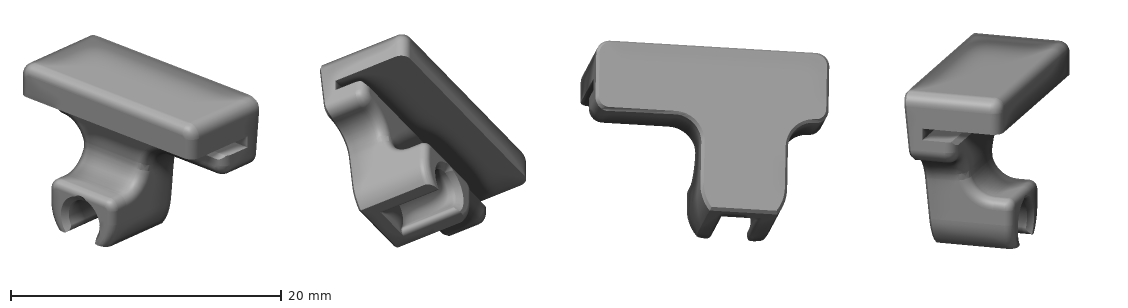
import cadquery as cq
import math

width = 17.5
depth = 7.58
height = 12.4

head_bottom = 7.1
corner_radius = 1.0
slot_bottom = 8.92
slot_top = 9.82
slot_back = 6.04
lip_front = 3.5
lip_chamfer = 0.35

stem_half_width = 3.25
stem_top = 3.9
blend_radius = 2.0
stem_center = corner_radius + blend_radius + stem_half_width
jaw_start = 2.0
jaw_radius = 3.15

head_edge_radius = 0.79
stem_edge_radius = 0.6
back_tilt = 5.8
back_chamfer = 0.21
back_clearance = 0.18

bore_radius = 1.55
bore_height = 1.38
bore_depth = 5.0
bore_bevel = 0.42
mouth_radius = 0.4
crown_front_radius = 0.72
crown_back_radius = 0.15

eps = 0.002
diagonal = math.sqrt(0.5)
back_slope = math.tan(math.radians(back_tilt))


def xz_prism(sketch, length):
    """Extrude a closed XZ sketch toward +Y."""
    return sketch.extrude(-length)


def front_outline():
    """T-shaped body, with blended shoulders and a curved-in lower jaw."""
    left = stem_center - stem_half_width
    right = stem_center + stem_half_width
    r = corner_radius
    b = blend_radius
    shoulder = head_bottom - b
    bend = 1 - diagonal
    jaw_angle = math.asin(jaw_start / jaw_radius)
    jaw_inset = jaw_radius * (1 - math.cos(jaw_angle))
    mid_inset = jaw_radius * (1 - math.cos(jaw_angle / 2))
    mid_height = jaw_start - jaw_radius * math.sin(jaw_angle / 2)
    sketch = (
        cq.Workplane("XZ")
        .moveTo(r, height)
        .lineTo(width - r, height)
        .threePointArc((width - r * bend, height - r * bend), (width, height - r))
        .lineTo(width, head_bottom + r)
        .threePointArc((width - r * bend, head_bottom + r * bend), (width - r, head_bottom))
        .lineTo(right + b, head_bottom)
        .threePointArc((right + b * bend, head_bottom - b * bend), (right, shoulder))
        .lineTo(right, jaw_start)
        .threePointArc((right - mid_inset, mid_height), (right - jaw_inset, 0))
        .lineTo(left + jaw_inset, 0)
        .threePointArc((left + mid_inset, mid_height), (left, jaw_start))
        .lineTo(left, shoulder)
        .threePointArc((left - b * bend, head_bottom - b * bend), (left - b, head_bottom))
        .threePointArc((r * bend, head_bottom + r * bend), (0, head_bottom + r))
        .lineTo(0, height - r)
        .threePointArc((r * bend, height - r * bend), (r, height))
        .close()
    )
    return xz_prism(sketch, depth + back_clearance)


def side_outline():
    """Side profile: slot, set-back lip and concave throat."""
    b = blend_radius
    bend = 1 - diagonal
    return (
        cq.Workplane("YZ")
        .moveTo(0, 0)
        .lineTo(0, stem_top)
        .lineTo(lip_front - b, stem_top)
        .threePointArc((lip_front - b * bend, stem_top + b * bend), (lip_front, stem_top + b))
        .lineTo(lip_front, slot_bottom)
        .lineTo(slot_back, slot_bottom)
        .lineTo(slot_back, slot_top)
        .lineTo(0, slot_top)
        .lineTo(0, height)
        .lineTo(depth + back_clearance, height)
        .lineTo(depth + back_clearance, 0)
        .close()
        .extrude(width)
    )


def back_envelope():
    """Sloping back with chamfered edges, clear of the body everywhere else."""
    outline = front_outline().faces("<Y").wires().val()
    enlarged = outline.offset2D(back_clearance)[0]
    reduced = outline.offset2D(-back_chamfer)[0]
    back_at_bottom = depth + (back_chamfer - height) * back_slope
    chamfer_start = back_at_bottom - back_chamfer - back_clearance
    sections = []
    for section, bottom_y in [(enlarged, -depth), (enlarged, chamfer_start), (reduced, back_at_bottom)]:
        lean = cq.Matrix([[1, 0, 0, 0], [0, 1, back_slope, bottom_y], [0, 0, 1, 0]])
        sections.append(section.transformGeometry(lean))
    return cq.Workplane(cq.Solid.makeLoft(sections, True))


def round_head_front(body):
    """Round the sides and top of the front face above the slot."""
    on_front = cq.selectors.BoxSelector((-0.18, -0.18, slot_top + eps), (width + 0.18, 0.18, height + 0.18))
    return body.edges(on_front).fillet(head_edge_radius)


def round_lip_and_throat(body):
    """Round the run of edges along the lip, shoulders, throat and stem top."""
    run = []
    for edge in body.edges().vals():
        box = edge.BoundingBox()
        in_front = box.ymax < lip_front + eps
        between = stem_top - eps < box.zmin < slot_bottom - eps and box.zmax < slot_bottom + eps
        across_stem = box.xlen > 2 * stem_half_width - eps and box.zmax < head_bottom - eps
        if in_front and between and not across_stem:
            run.append(edge)
    return body.newObject(run).fillet(head_edge_radius)


def round_stem_front(body):
    """Round the stem's front face, except along its flat bottom."""
    on_front = []
    for edge in body.edges().vals():
        box = edge.BoundingBox()
        if box.ymax < eps < box.zmax < stem_top + eps:
            on_front.append(edge)
    return body.newObject(on_front).fillet(stem_edge_radius)


def chamfer_lip(body):
    """Lead-in chamfer on the slot's lower front edge."""
    wedge = (
        cq.Workplane("YZ")
        .moveTo(lip_front + lip_chamfer, slot_bottom)
        .lineTo(lip_front - lip_chamfer, slot_bottom)
        .lineTo(lip_front - lip_chamfer, slot_bottom - 2 * lip_chamfer)
        .close()
        .extrude(width)
    )
    return body.cut(wedge)


def entry_cone(front_radius, back_radius, center_height):
    """Cone narrowing from the stem's front face to the end of the bore bevel."""
    inward = cq.Vector(0, 1, 0)
    center = cq.Vector(stem_center, 0, center_height)
    return cq.Workplane(cq.Solid.makeCone(front_radius, back_radius, bore_bevel, center, inward))


def bore():
    """Cutters for a blind round bore with a rounded mouth and a bevelled entry."""
    center = cq.Workplane("XZ").center(stem_center, bore_height)
    hole = xz_prism(center.circle(bore_radius), bore_depth)
    reach = bore_radius + mouth_radius
    drop = bore_height - mouth_radius
    half_mouth = math.sqrt(reach**2 - drop**2)
    touch_x = half_mouth * bore_radius / reach
    touch_z = bore_height - drop * bore_radius / reach
    half_gap = half_mouth - mouth_radius
    mouth = xz_prism(
        cq.Workplane("XZ")
        .moveTo(stem_center - touch_x, touch_z)
        .lineTo(stem_center + touch_x, touch_z)
        .threePointArc((stem_center + half_gap, mouth_radius), (stem_center + half_mouth, 0))
        .lineTo(stem_center - half_mouth, 0)
        .threePointArc((stem_center - half_gap, mouth_radius), (stem_center - touch_x, touch_z))
        .close(),
        bore_depth,
    )
    bevel = entry_cone(bore_radius + bore_bevel, bore_radius, bore_height)
    crown_height = bore_height + bore_radius - crown_back_radius
    crown = entry_cone(crown_front_radius, crown_back_radius, crown_height)
    return [hole, mouth, bevel, crown]


body = front_outline().intersect(side_outline())
body = round_head_front(body)
body = round_lip_and_throat(body)
body = round_stem_front(body)
body = chamfer_lip(body)
body = body.intersect(back_envelope())
for cutter in bore():
    body = body.cut(cutter)
result = body